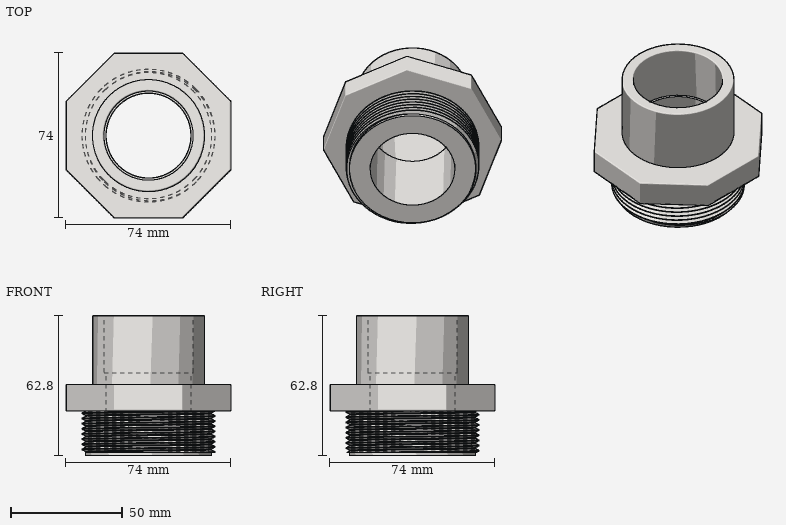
import cadquery as cq
import math

across_flats = 74.0
collar_bottom = 20.0
collar_height = 12.0
collar_top = collar_bottom + collar_height
collar_sides = 8
collar_edge_radius = 0.5

spigot_diameter = 50.3
total_height = 62.8
rim_radius = 0.5

socket_diameter = 40.0
socket_depth = 25.8
bore_diameter = 38.0

inch = 25.4
turns_per_inch = 11
pitch = inch / turns_per_inch
thread_root_diameter = 56.66
thread_crest_diameter = 59.614
flank_half_angle = math.radians(27.5)
root_gap = 0.45
thread_start = 1.5
thread_first_crest = 1.65
thread_embed = 0.2
thread_end = collar_bottom + collar_edge_radius


def cylinder(diameter, bottom, top):
    return cq.Workplane("XY").workplane(offset=bottom).circle(diameter / 2).extrude(top - bottom)


def make_collar():
    across_corners = across_flats / math.cos(math.pi / collar_sides)
    collar = (
        cq.Workplane("XY")
        .workplane(offset=collar_bottom)
        .transformed(rotate=(0, 0, 180 / collar_sides))
        .polygon(collar_sides, across_corners)
        .extrude(collar_height)
    )
    return collar.edges().fillet(collar_edge_radius)


def make_spigot():
    spigot = cylinder(spigot_diameter, collar_bottom, total_height)
    return spigot.faces(">Z").edges().fillet(rim_radius)


def make_thread():
    """Helical ridge, trimmed flat at its lower end and just inside the collar."""
    root_radius = thread_root_diameter / 2
    crest_radius = thread_crest_diameter / 2
    inner_radius = root_radius - thread_embed
    slope = math.tan(flank_half_angle)
    half_base = (pitch - root_gap) / 2
    half_crest = half_base - (crest_radius - root_radius) * slope
    half_inner = half_base + thread_embed * slope

    helix_bottom = thread_first_crest - pitch
    turns = math.ceil((collar_bottom - helix_bottom) / pitch) + 1
    helix = cq.Workplane(cq.Wire.makeHelix(pitch, turns * pitch, root_radius))
    ridge = (
        cq.Workplane("XZ")
        .polyline([
            (inner_radius, -half_inner),
            (crest_radius, -half_crest),
            (crest_radius, half_crest),
            (inner_radius, half_inner),
        ])
        .close()
        .sweep(helix, isFrenet=True)
        .translate((0, 0, helix_bottom))
    )
    return ridge.intersect(cylinder(across_flats, thread_start, thread_end))


def cut_passage(body):
    """Cut the through bore and the socket, and round the socket mouth."""
    socket_bottom = total_height - socket_depth
    body = body.cut(cylinder(bore_diameter, 0, total_height))
    body = body.cut(cylinder(socket_diameter, socket_bottom, total_height))
    socket_mouth = body.faces(">Z").edges(cq.selectors.RadiusNthSelector(0))
    return socket_mouth.fillet(rim_radius)


threaded_end = cylinder(thread_root_diameter, 0, collar_top).union(make_thread())
body = threaded_end.union(make_collar()).union(make_spigot())
result = cut_passage(body)